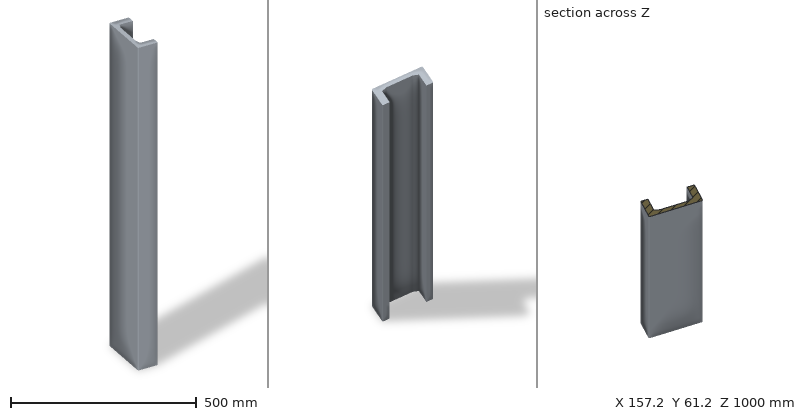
import cadquery as cq

width = 157.2
depth = 61.2
length = 1000.0

flange_thickness = 22.0
web_thickness = 14.0
outer_corner_radius = 3.0

haunch_width = 16.0
haunch_height = 5.5

half_width = width / 2
back_y = -depth / 2
open_y = depth / 2
inner_x = half_width - flange_thickness
floor_y = back_y + web_thickness
haunch_top_y = floor_y + haunch_height
haunch_foot_x = inner_x - haunch_width


def channel_bar():
    """U-shaped section, open toward +Y, extruded along Z."""
    section = (
        cq.Workplane("XY")
        .moveTo(-half_width, back_y)
        .lineTo(half_width, back_y)
        .lineTo(half_width, open_y)
        .lineTo(inner_x, open_y)
        .lineTo(inner_x, haunch_top_y)
        .lineTo(haunch_foot_x, floor_y)
        .lineTo(-haunch_foot_x, floor_y)
        .lineTo(-inner_x, haunch_top_y)
        .lineTo(-inner_x, open_y)
        .lineTo(-half_width, open_y)
        .close()
    )
    return section.extrude(length)


def round_outer_corners(bar):
    """Round the four long edges on the two outer side faces."""
    return bar.faces("<X or >X").edges("|Z").fillet(outer_corner_radius)


result = round_outer_corners(channel_bar())